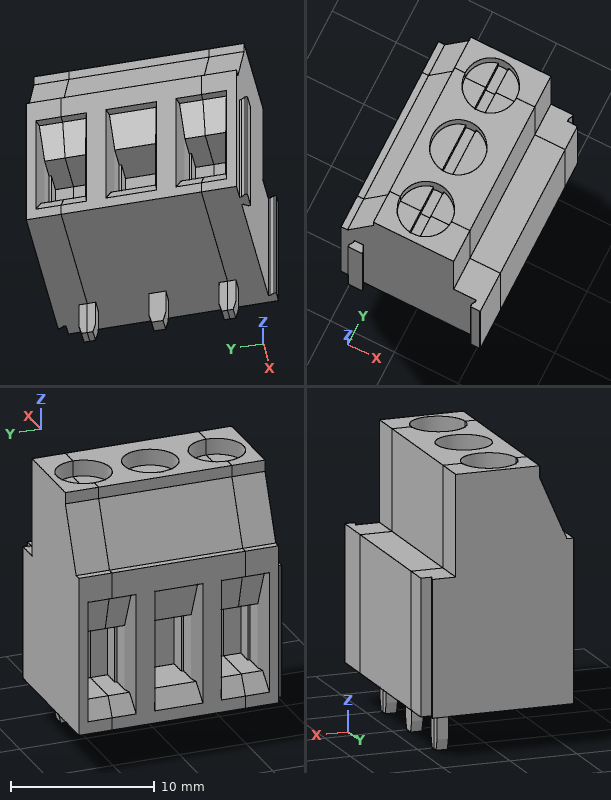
import cadquery as cq


POLE_PITCH = 5.0
POLE_COUNT = 3
BLOCK_LENGTH = POLE_COUNT * POLE_PITCH
BLOCK_DEPTH = 11.2
PIN_LENGTH = 3.0
OVERALL_HEIGHT = 20.5
BLOCK_HEIGHT = OVERALL_HEIGHT - PIN_LENGTH

LEDGE_DEPTH = 0.51
LEDGE_HEIGHT = 12.01
SLOPE_TOP_X = 2.55
SLOPE_TOP_Z = 16.65
TOWER_BACK_X = 8.82
SHELF_HEIGHT = 10.07

SCREW_X = 5.37
BORE_DIAMETER = 4.0
BORE_DEPTH = 1.2
SLOT_WIDTH = 0.8
SLOT_DEPTH = 0.7

FUNNEL_MOUTH_WIDTH = 3.6
THROAT_WIDTH = 2.91
FUNNEL_DEPTH = 1.31
MOUTH_BOTTOM = 0.95
MOUTH_TOP = SHELF_HEIGHT
FLOOR_START_X = 0.75
THROAT_BOTTOM = 2.32
CEILING_SLOPE_START_X = 0.51
THROAT_TOP = 7.22
THROAT_BACK_X = 2.77
CHAMBER_WIDTH = 2.58
CHAMBER_BACK_X = 4.1

PIN_WIDTH = 1.2
PIN_TIP_WIDTH = 0.82
PIN_TAPER_LENGTH = 0.82
PIN_FRONT_X = 8.63
PIN_THICKNESS = 0.86

RAIL_DEPTH = 0.6
RAIL_CENTER_X = 1.41
RAIL_NECK_WIDTH = 0.72
RAIL_HEAD_WIDTH = 1.1
RAIL_NECK_LENGTH = 0.12
RAIL_FLARE_END = 0.43
TIP_CHAMFER_DEPTH = 0.02
RAIL_CHAMFER_INSET = 0.15
HOOK_CHAMFER_INSET = 0.06
HOOK_NECK_X = 10.55
HOOK_HEAD_X = 10.41

HALF_LENGTH = BLOCK_LENGTH / 2
POLE_POSITIONS = [(i - (POLE_COUNT - 1) / 2) * POLE_PITCH for i in range(POLE_COUNT)]


def prism_along_y(points, y_center, width):
    """Extrude an X-Z outline symmetrically about y_center."""
    return (
        cq.Workplane("XZ", origin=(0, y_center, 0))
        .polyline(points)
        .close()
        .extrude(width / 2, both=True)
    )


def prism_along_z(points, height):
    """Extrude an X-Y outline upwards from the underside of the block."""
    return cq.Workplane("XY").polyline(points).close().extrude(height)


def housing_blank():
    """Solid block with a sloped front, a raised tower and a rear shelf."""
    profile = [
        (0, 0),
        (BLOCK_DEPTH, 0),
        (BLOCK_DEPTH, SHELF_HEIGHT),
        (TOWER_BACK_X, SHELF_HEIGHT),
        (TOWER_BACK_X, BLOCK_HEIGHT),
        (SLOPE_TOP_X, BLOCK_HEIGHT),
        (SLOPE_TOP_X, SLOPE_TOP_Z),
        (LEDGE_DEPTH, LEDGE_HEIGHT),
        (0, LEDGE_HEIGHT),
    ]
    return prism_along_y(profile, 0, BLOCK_LENGTH)


def screw_bore(y):
    """Blind bore with a screwdriver slot sunk into its floor."""
    bore_floor = cq.Workplane("XY", origin=(SCREW_X, y, BLOCK_HEIGHT - BORE_DEPTH))
    bore = bore_floor.circle(BORE_DIAMETER / 2).extrude(BORE_DEPTH)
    round_limit = bore_floor.circle(BORE_DIAMETER / 2).extrude(-SLOT_DEPTH)
    slot = bore_floor.rect(SLOT_WIDTH, BORE_DIAMETER).extrude(-SLOT_DEPTH).intersect(round_limit)
    return bore.union(slot)


def wire_entry(y):
    """Funnel with tapering side walls, leading to a throat and a narrower chamber."""
    side_profile = [
        (0, MOUTH_BOTTOM),
        (FLOOR_START_X, THROAT_BOTTOM),
        (THROAT_BACK_X, THROAT_BOTTOM),
        (THROAT_BACK_X, THROAT_TOP),
        (FUNNEL_DEPTH, THROAT_TOP),
        (CEILING_SLOPE_START_X, MOUTH_TOP),
        (0, MOUTH_TOP),
    ]
    plan = [
        (0, y - FUNNEL_MOUTH_WIDTH / 2),
        (FUNNEL_DEPTH, y - THROAT_WIDTH / 2),
        (THROAT_BACK_X, y - THROAT_WIDTH / 2),
        (THROAT_BACK_X, y + THROAT_WIDTH / 2),
        (FUNNEL_DEPTH, y + THROAT_WIDTH / 2),
        (0, y + FUNNEL_MOUTH_WIDTH / 2),
    ]
    funnel = prism_along_y(side_profile, y, FUNNEL_MOUTH_WIDTH).intersect(prism_along_z(plan, BLOCK_HEIGHT))
    chamber = cq.Workplane("XY", origin=(THROAT_BACK_X, y, THROAT_BOTTOM)).box(
        CHAMBER_BACK_X - THROAT_BACK_X,
        CHAMBER_WIDTH,
        THROAT_TOP - THROAT_BOTTOM,
        centered=(False, True, False),
    )
    return funnel.union(chamber)


def solder_pin(y):
    """Flat pin under the block, tapered across its width at the tip."""
    taper_z = PIN_TAPER_LENGTH - PIN_LENGTH
    outline = [
        (y - PIN_WIDTH / 2, 0),
        (y - PIN_WIDTH / 2, taper_z),
        (y - PIN_TIP_WIDTH / 2, -PIN_LENGTH),
        (y + PIN_TIP_WIDTH / 2, -PIN_LENGTH),
        (y + PIN_WIDTH / 2, taper_z),
        (y + PIN_WIDTH / 2, 0),
    ]
    pin = cq.Workplane("YZ", origin=(PIN_FRONT_X, 0, 0)).polyline(outline).close()
    return pin.extrude(PIN_THICKNESS)


def dovetail_rail():
    """Dovetail standing out of the -Y end near the wire entry face."""
    half_steps = [
        (RAIL_NECK_WIDTH / 2, 0),
        (RAIL_NECK_WIDTH / 2, RAIL_NECK_LENGTH),
        (RAIL_HEAD_WIDTH / 2, RAIL_FLARE_END),
        (RAIL_HEAD_WIDTH / 2, RAIL_DEPTH - TIP_CHAMFER_DEPTH),
        (RAIL_HEAD_WIDTH / 2 - RAIL_CHAMFER_INSET, RAIL_DEPTH),
    ]
    right_side = [(RAIL_CENTER_X + x, -HALF_LENGTH - out) for x, out in half_steps]
    left_side = [(RAIL_CENTER_X - x, -HALF_LENGTH - out) for x, out in reversed(half_steps)]
    return prism_along_z(right_side + left_side, SHELF_HEIGHT)


def undercut(end_y):
    """Neck and flare shared by the hook and the rebate, running outwards in -Y from end_y."""
    return [
        (BLOCK_DEPTH, end_y),
        (HOOK_NECK_X, end_y),
        (HOOK_NECK_X, end_y - RAIL_NECK_LENGTH),
        (HOOK_HEAD_X, end_y - RAIL_FLARE_END),
    ]


def rear_hook():
    """Undercut hook standing out of the -Y end at the rear corner."""
    tip_y = -HALF_LENGTH - RAIL_DEPTH
    tip = [
        (HOOK_HEAD_X, tip_y + TIP_CHAMFER_DEPTH),
        (HOOK_HEAD_X + HOOK_CHAMFER_INSET, tip_y),
        (BLOCK_DEPTH - HOOK_CHAMFER_INSET, tip_y),
        (BLOCK_DEPTH, tip_y + TIP_CHAMFER_DEPTH),
    ]
    return prism_along_z(undercut(-HALF_LENGTH) + tip, SHELF_HEIGHT)


def rear_rebate():
    """Space at the +Y end that takes the hook of a neighbouring block."""
    floor_y = HALF_LENGTH - RAIL_DEPTH
    floor = [(HOOK_HEAD_X, floor_y), (BLOCK_DEPTH, floor_y)]
    return prism_along_z(undercut(HALF_LENGTH) + floor, SHELF_HEIGHT)


def terminal_row():
    """The full row of poles before it is divided into sections."""
    row = housing_blank().cut(rear_rebate())
    for y in POLE_POSITIONS:
        row = row.cut(screw_bore(y)).cut(wire_entry(y)).union(solder_pin(y))
    return row


def section_of(row, y_start, y_end):
    """The part of the row between two planes across Y."""
    slab = cq.Workplane("XY", origin=(0, y_start, -PIN_LENGTH)).box(
        BLOCK_DEPTH,
        y_end - y_start,
        OVERALL_HEIGHT,
        centered=False,
    )
    return row.intersect(slab)


terminal_poles = terminal_row()
near_end_section = (
    section_of(terminal_poles, -HALF_LENGTH, POLE_POSITIONS[0])
    .union(dovetail_rail())
    .union(rear_hook())
)
middle_section = section_of(terminal_poles, POLE_POSITIONS[0], POLE_POSITIONS[-1])
far_end_section = section_of(terminal_poles, POLE_POSITIONS[-1], HALF_LENGTH)

result = cq.Compound.makeCompound(
    [near_end_section.val(), middle_section.val(), far_end_section.val()]
)